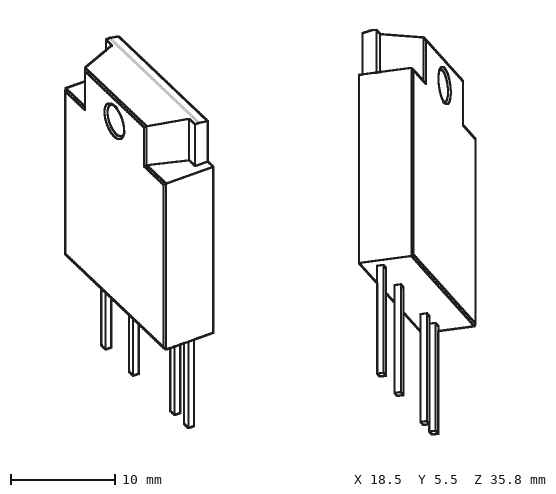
import cadquery as cq

total_height = 35.8
body_width = 18.5
depth = 5.5
pin_length = 11.25
tab_height = 4.95
body_top = total_height - tab_height
edge_chamfer = 0.18

tab_width = 16.47
tab_thickness = 1.43
ridge_depth = 1.0
ridge_half_width = 0.09
ridge_rise = 0.007
back_drop = 0.18
front_drop = 0.35
tongue_root_width = 14.25
tongue_front_width = 11.25

hole_diameter = 3.2
hole_chamfer = 0.2
hole_z = total_height - 3.15

pin_width = 0.82
pin_thickness = 0.65
pin_pitch = 2.55
pin_steps = (-3, -1, 2, 3)


def block(width, thickness, bottom, top):
    """Box centred in X, reaching forward from the back face."""
    return (
        cq.Workplane("XY")
        .box(width, thickness, top - bottom, centered=(True, False, False))
        .translate((0, -thickness, bottom))
    )


def sloped_head():
    """Tab plate and tapering tongue, trimmed by the two slopes of the top."""
    tongue = (
        cq.Workplane("XY")
        .workplane(offset=body_top)
        .moveTo(-tongue_root_width / 2, -tab_thickness)
        .lineTo(-tongue_front_width / 2, -depth)
        .lineTo(tongue_front_width / 2, -depth)
        .lineTo(tongue_root_width / 2, -tab_thickness)
        .close()
        .extrude(tab_height)
    )
    side_profile = (
        cq.Workplane("YZ")
        .moveTo(0, body_top)
        .lineTo(0, total_height - back_drop)
        .lineTo(-ridge_depth + ridge_half_width, total_height - ridge_rise)
        .threePointArc(
            (-ridge_depth, total_height),
            (-ridge_depth - ridge_half_width, total_height - ridge_rise),
        )
        .lineTo(-depth, total_height - front_drop)
        .lineTo(-depth, body_top)
        .close()
        .extrude(tab_width / 2, both=True)
    )
    tab = block(tab_width, tab_thickness, body_top, total_height)
    return tab.union(tongue).intersect(side_profile)


def mounting_hole():
    """Cutter for the through hole with its chamfered front rim."""
    radius = hole_diameter / 2
    front = cq.Workplane("XZ", origin=(0, 0, hole_z)).workplane(offset=depth)
    bore = front.circle(radius).extrude(-depth)
    rim = (
        front.circle(radius + hole_chamfer)
        .workplane(offset=-hole_chamfer)
        .circle(radius)
        .loft()
    )
    return bore.union(rim)


def pin(step):
    """One straight pin hanging from the underside of the body."""
    return (
        cq.Workplane("XY")
        .box(pin_width, pin_thickness, pin_length, centered=(True, False, False))
        .translate((step * pin_pitch, -tab_thickness - pin_thickness, 0))
    )


package = block(body_width, depth, pin_length, body_top).union(sloped_head()).clean()
package = package.faces("<Y").edges().chamfer(edge_chamfer)
result = package.cut(mounting_hole())
for pin_step in pin_steps:
    result = result.union(pin(pin_step))